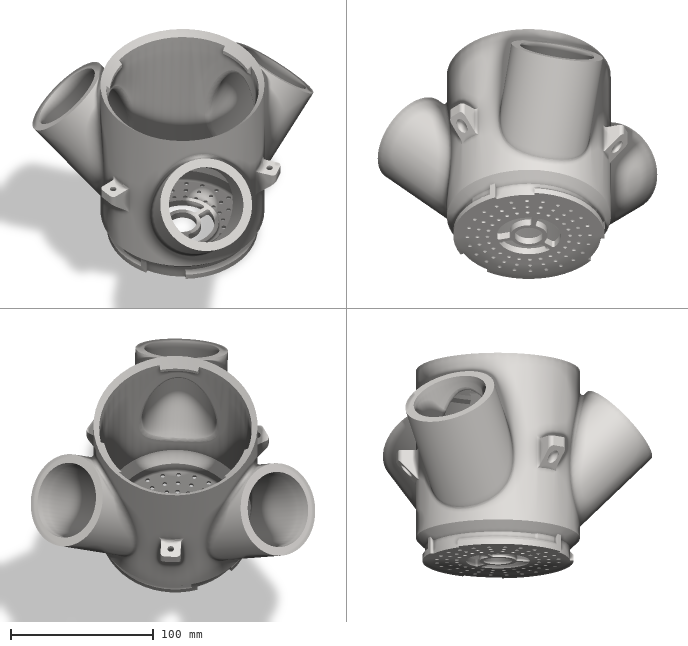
import cadquery as cq
import math

TOTAL_HEIGHT = 136.5
BODY_RADIUS = 115 / 2
BORE_RADIUS = 107 / 2
NECK_BORE_RADIUS = 93 / 2
NECK_RADIUS = NECK_BORE_RADIUS + BODY_RADIUS - BORE_RADIUS
CONE_TOP_Z = 16.5
CONE_HEIGHT = BODY_RADIUS - NECK_RADIUS
CONE_BOTTOM_Z = CONE_TOP_Z - CONE_HEIGHT
INNER_CONE_RISE = 1.5

FLOOR_THICKNESS = 2.0
FLOOR_FILLET = 1.5
HUB_RADIUS = 51 / 2
HUB_HEIGHT = 3.0
HUB_HOLE_RADIUS = 20 / 2
WINDOW_INNER_RADIUS = 13.0
WINDOW_OUTER_RADIUS = 22.5
SPOKE_WIDTH = 3.0
WINDOW_CORNER_RADIUS = 1.5
DRAIN_DIAMETER = 3.0
DRAIN_RING_RADII = (29.0, 36.0, 43.0)
DRAINS_PER_RING = 24

TUBE_OUTER_RADIUS = 65 / 2
TUBE_INNER_RADIUS = 52.7 / 2
TUBE_TILT = 45.0
TUBE_LENGTH = 121.0
TUBE_ORIGIN_Z = 14.5
TUBE_FILLET = 2.0
TUBE_MOUTH_FILLET = 4.0

BRACKET_WIDTH = 14.0
BRACKET_REACH = 71.0
BRACKET_TOP_Z = 76.5
BRACKET_TIP_HEIGHT = 7.0
BRACKET_CORNER_RADIUS = 3.0
BRACKET_FILLET = 2.0
SCREW_RADIUS_POSITION = 64.5
SCREW_DIAMETER = 4.5
SCREW_HEAD_DIAMETER = 7.5
SCREW_SEAT_THICKNESS = 3.0

LUG_CLEARANCE = 0.5
LUG_RADIUS = BORE_RADIUS - LUG_CLEARANCE
LUG_RIM_HEIGHT = 4.0
LUG_HEIGHT = 6.5
LUG_START = -69.0
LUG_END = 20.0
STOP_START = 15.5
STOP_TOP_Z = 12.0
DETENT_RADIUS = NECK_RADIUS + 0.5
DETENT_BOTTOM_Z = 6.0
DETENT_TOP_Z = 10.0
DETENT_START = -4.0
DETENT_END = 14.0
DETENT_END_TAPER = 2.0
TAB_RADIUS = 51.0
TAB_LIP_Z = 127.0
TAB_BOTTOM_Z = 124.5
TAB_HALF_ANGLE = 15.0
RIM_SEAT_DEPTH = CONE_HEIGHT

FRONT = -90.0
BACK = 90.0
THREEFOLD = (0, 120, 240)
EDGE_SAMPLES = (0.1, 0.3, 0.5, 0.7, 0.9)
WALL_TOLERANCE = 0.05
OVERLAP = 1.0


def polar(radius, angle):
    return (radius * math.cos(math.radians(angle)), radius * math.sin(math.radians(angle)))


def turn(shape, angle):
    return shape.rotate((0, 0, 0), (0, 0, 1), angle)


def cylinder(radius, bottom, top):
    return cq.Workplane("XY").workplane(offset=bottom).circle(radius).extrude(top - bottom)


def revolve_sector(profile, start, end):
    """Revolve an (r, z) profile about Z from one angle to another."""
    section = cq.Workplane("XZ").polyline(profile).close()
    return turn(section.revolve(end - start, (0, 0), (0, 1)), start)


def make_outer_body():
    """Solid body of revolution without the lugs."""
    profile = [
        (0, 0),
        (NECK_RADIUS, 0),
        (NECK_RADIUS, CONE_BOTTOM_Z),
        (BODY_RADIUS, CONE_TOP_Z),
        (BODY_RADIUS, TOTAL_HEIGHT),
        (0, TOTAL_HEIGHT),
    ]
    return cq.Workplane("XZ").polyline(profile).close().revolve(360, (0, 0), (0, 1))


def make_cavity():
    """Inside of the body, with the raised hub left standing on the floor."""
    hub_top = FLOOR_THICKNESS + HUB_HEIGHT
    fillet = FLOOR_FILLET
    bend = fillet * (1 - math.sqrt(0.5))
    profile = (
        cq.Workplane("XZ")
        .moveTo(0, hub_top)
        .lineTo(HUB_RADIUS, hub_top)
        .lineTo(HUB_RADIUS, FLOOR_THICKNESS + fillet)
        .threePointArc(
            (HUB_RADIUS + bend, FLOOR_THICKNESS + bend), (HUB_RADIUS + fillet, FLOOR_THICKNESS)
        )
        .lineTo(NECK_BORE_RADIUS - fillet, FLOOR_THICKNESS)
        .threePointArc(
            (NECK_BORE_RADIUS - bend, FLOOR_THICKNESS + bend),
            (NECK_BORE_RADIUS, FLOOR_THICKNESS + fillet),
        )
        .lineTo(NECK_BORE_RADIUS, CONE_BOTTOM_Z + INNER_CONE_RISE)
        .lineTo(BORE_RADIUS, CONE_TOP_Z + INNER_CONE_RISE)
        .lineTo(BORE_RADIUS, TOTAL_HEIGHT)
        .lineTo(0, TOTAL_HEIGHT)
        .close()
    )
    return profile.revolve(360, (0, 0), (0, 1))


def make_tube(radius, angle):
    """Inclined cylinder rising outward from the body axis."""
    tilt = math.radians(TUBE_TILT)
    across = polar(math.cos(tilt), angle)
    direction = cq.Vector(across[0], across[1], math.sin(tilt))
    origin = cq.Vector(0, 0, TUBE_ORIGIN_Z)
    return cq.Workplane(cq.Solid.makeCylinder(radius, TUBE_LENGTH, origin, direction))


def lies_on_wall(edge, wall_radius):
    """True if the edge runs along the cylinder of this radius about Z."""
    points = edge.positions(EDGE_SAMPLES)
    return all(abs(math.hypot(p.x, p.y) - wall_radius) < WALL_TOLERANCE for p in points)


def tube_joint_edges(solid, wall_radius):
    """Curves above the cone where the tubes cross a body wall."""
    joints = []
    for edge in solid.edges().vals():
        curved = edge.geomType() not in ("CIRCLE", "LINE")
        above_cone = edge.BoundingBox().zmin > CONE_TOP_Z
        if curved and above_cone and lies_on_wall(edge, wall_radius):
            joints.append(edge)
    return solid.newObject(joints)


def make_branched_outer():
    """Body, tubes and brackets as a solid mass with rounded joints."""
    outer = make_outer_body()
    below_cone = cylinder(BODY_RADIUS, -TUBE_LENGTH, CONE_TOP_Z)
    for step in THREEFOLD:
        tube = make_tube(TUBE_OUTER_RADIUS, BACK + step).cut(below_cone)
        outer = outer.union(tube)
    outer = tube_joint_edges(outer, BODY_RADIUS).fillet(TUBE_FILLET)
    for step in THREEFOLD:
        outer = outer.union(turn(make_bracket(), FRONT + step))
    return bracket_root_edges(outer).fillet(BRACKET_FILLET)


def make_branched_cavity():
    """Inside of the body and tubes, with the tube mouths rounded."""
    cavity = make_cavity()
    below_cone = cylinder(BORE_RADIUS, -TUBE_LENGTH, CONE_TOP_Z)
    for step in THREEFOLD:
        passage = make_tube(TUBE_INNER_RADIUS, BACK + step).cut(below_cone)
        cavity = cavity.union(passage)
    return tube_joint_edges(cavity, BORE_RADIUS).fillet(TUBE_MOUTH_FILLET)


def make_floor_openings():
    """Hub hole, three hub windows between spokes, and rings of drain holes."""
    top = FLOOR_THICKNESS + HUB_HEIGHT
    openings = cylinder(HUB_HOLE_RADIUS, 0, top)
    windows = cylinder(WINDOW_OUTER_RADIUS, 0, top).cut(cylinder(WINDOW_INNER_RADIUS, 0, top))
    for step in THREEFOLD:
        spoke = cq.Workplane("XY").box(BORE_RADIUS, SPOKE_WIDTH, top, centered=(False, True, False))
        windows = windows.cut(turn(spoke, BACK + step))
    openings = openings.union(windows.edges("|Z").fillet(WINDOW_CORNER_RADIUS))
    for radius in DRAIN_RING_RADII:
        drains = (
            cq.Workplane("XY")
            .polarArray(radius, 0, 360, DRAINS_PER_RING)
            .circle(DRAIN_DIAMETER / 2)
            .extrude(top)
        )
        openings = openings.union(drains)
    return openings


def make_bracket():
    """Bracket pointing along +X, with a 45 degree underside."""
    root = BODY_RADIUS - OVERLAP
    tip_bottom = BRACKET_TOP_Z - BRACKET_TIP_HEIGHT
    profile = [
        (root, BRACKET_TOP_Z),
        (BRACKET_REACH, BRACKET_TOP_Z),
        (BRACKET_REACH, tip_bottom),
        (root, tip_bottom - (BRACKET_REACH - root)),
    ]
    bracket = cq.Workplane("XZ").polyline(profile).close().extrude(BRACKET_WIDTH / 2, both=True)
    return bracket.edges("|Z and >X").fillet(BRACKET_CORNER_RADIUS)


def bracket_root_edges(solid):
    """Top and side edges where the brackets meet the body wall."""
    longest_side = BRACKET_TIP_HEIGHT + BRACKET_REACH - BODY_RADIUS + OVERLAP
    roots = []
    for edge in solid.edges().vals():
        box = edge.BoundingBox()
        side = edge.geomType() == "LINE" and box.zlen < longest_side
        top = box.zlen < WALL_TOLERANCE and abs(box.zmax - BRACKET_TOP_Z) < WALL_TOLERANCE
        if lies_on_wall(edge, BODY_RADIUS) and (side or top):
            roots.append(edge)
    return solid.newObject(roots)


def make_screw_hole():
    """Screw hole through a bracket along +X, opened out for the head from below."""
    seat = BRACKET_TOP_Z - SCREW_SEAT_THICKNESS
    below_bracket = BRACKET_TOP_Z - BRACKET_TIP_HEIGHT - (BRACKET_REACH - BODY_RADIUS)
    hole = cylinder(SCREW_DIAMETER / 2, seat, BRACKET_TOP_Z)
    hole = hole.union(cylinder(SCREW_HEAD_DIAMETER / 2, below_bracket, seat))
    return hole.translate((SCREW_RADIUS_POSITION, 0, 0))


def make_lug():
    """Lug, end stop and detent at the front of the neck."""
    root = NECK_RADIUS - OVERLAP
    lug = revolve_sector(
        [
            (root, 0),
            (LUG_RADIUS, 0),
            (LUG_RADIUS, LUG_RIM_HEIGHT),
            (NECK_RADIUS, LUG_HEIGHT),
            (root, LUG_HEIGHT),
        ],
        FRONT + LUG_START,
        FRONT + LUG_END,
    )
    stop = revolve_sector(
        [(root, 0), (LUG_RADIUS, 0), (LUG_RADIUS, STOP_TOP_Z), (root, STOP_TOP_Z)],
        FRONT + STOP_START,
        FRONT + LUG_END,
    )
    start = FRONT + DETENT_START
    end = FRONT + DETENT_END
    detent = (
        cq.Workplane("XY")
        .workplane(offset=DETENT_BOTTOM_Z)
        .moveTo(*polar(root, start - DETENT_END_TAPER))
        .lineTo(*polar(NECK_RADIUS, start - DETENT_END_TAPER))
        .lineTo(*polar(DETENT_RADIUS, start))
        .threePointArc(polar(DETENT_RADIUS, (start + end) / 2), polar(DETENT_RADIUS, end))
        .lineTo(*polar(NECK_RADIUS, end + DETENT_END_TAPER))
        .lineTo(*polar(root, end + DETENT_END_TAPER))
        .threePointArc(polar(root, (start + end) / 2), polar(root, start - DETENT_END_TAPER))
        .close()
        .extrude(DETENT_TOP_Z - DETENT_BOTTOM_Z)
    )
    return lug.union(stop).union(detent)


def make_tab():
    """Tab inside the rim, on the +Y side, still reaching up to the rim plane."""
    root = BORE_RADIUS + OVERLAP
    return revolve_sector(
        [
            (root, TOTAL_HEIGHT),
            (TAB_RADIUS, TOTAL_HEIGHT),
            (TAB_RADIUS, TAB_LIP_Z),
            (BORE_RADIUS, TAB_BOTTOM_Z),
            (root, TAB_BOTTOM_Z),
        ],
        BACK - TAB_HALF_ANGLE,
        BACK + TAB_HALF_ANGLE,
    )


def make_rim_seat():
    """45 degree conical seat that bevels the rim and the tops of the tabs."""
    cone = cq.Solid.makeCone(BODY_RADIUS - RIM_SEAT_DEPTH, BODY_RADIUS, RIM_SEAT_DEPTH)
    return cq.Workplane(cone).translate((0, 0, TOTAL_HEIGHT - RIM_SEAT_DEPTH))


def build_part():
    part = make_branched_outer().cut(make_branched_cavity()).cut(make_floor_openings())
    for step in THREEFOLD:
        part = part.union(turn(make_lug(), step))
        part = part.union(turn(make_tab(), step))
    part = part.cut(make_rim_seat())
    for step in THREEFOLD:
        part = part.cut(turn(make_screw_hole(), FRONT + step))
    return part


result = build_part()